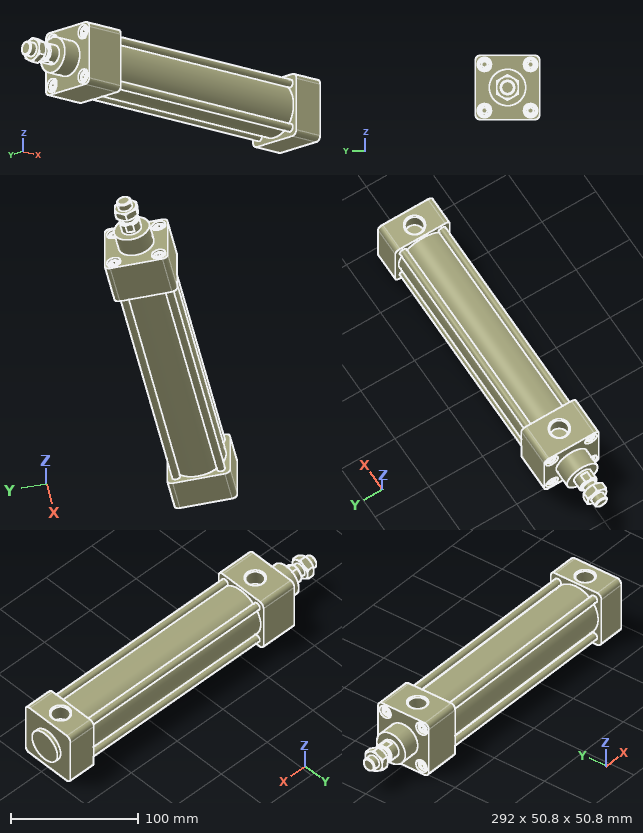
import cadquery as cq
import math

TOTAL_LENGTH = 292.0
NUT_FRONT = 6.5
NUT_THICKNESS = 7.0
SHOULDER_X = 18.7
FLAT_END_X = 26.0
FRONT_BOSS_X = 28.3
FRONT_CAP_X = 44.0
FRONT_CAP_END_X = 77.7
REAR_CAP_X = 263.2
REAR_CAP_END_X = 288.5

CAP_SIDE = 50.8
CAP_CORNER_RADIUS = 4.5
BOSS_DIAMETER = 28.5
PORT_DIAMETER = 15.2
PORT_CHAMFER = 1.02
PORT_DEPTH = 14.5
FRONT_PORT_X = 62.2
REAR_PORT_X = 275.0

TUBE_OUTER_DIAMETER = 44.5
TUBE_BORE_DIAMETER = 38.0

ROD_DIAMETER = 15.8
ROD_CHAMFER = 1.0
ROD_FLAT_WIDTH = 14.5
THREAD_DIAMETER = 11.0
THREAD_CHAMFER = 0.73
NUT_WIDTH = 17.2
NUT_CHAMFER_ANGLE = 30.0

TIE_ROD_DIAMETER = 6.5
TIE_ROD_OFFSET = 18.0
TIE_ROD_ENGAGEMENT = 14.5
HEAD_DIAMETER = 9.5
HEAD_CHAMFER = 1.2
HEAD_LENGTH = 6.5
HEAD_RECESS = 1.0
COUNTERBORE_DIAMETER = 11.0
SOCKET_CORNERS = 5.0
SOCKET_DEPTH = 3.2
SOCKET_TURN = 45

HEAD_X = FRONT_CAP_X + HEAD_RECESS
HEAD_END_X = HEAD_X + HEAD_LENGTH
TIE_ROD_END_X = REAR_CAP_X + TIE_ROD_ENGAGEMENT
CORNER_ANGLES = [45 + 90 * i for i in range(4)]
CORNER_RADIUS = TIE_ROD_OFFSET * math.sqrt(2)


def cross_section(x):
    """Work plane square to the cylinder axis at station x, with its normal along +X."""
    return cq.Workplane("YZ", origin=(x, 0, 0))


def cylinder(diameter, start_x, end_x):
    return cross_section(start_x).circle(diameter / 2).extrude(end_x - start_x)


def place_at_corner(body, angle):
    """Move a body from the cylinder axis to a tie rod corner, turned with that corner."""
    return body.translate((0, CORNER_RADIUS, 0)).rotate((0, 0, 0), (1, 0, 0), angle)


def cap_block(start_x, end_x):
    block = cross_section(start_x).rect(CAP_SIDE, CAP_SIDE).extrude(end_x - start_x)
    return block.edges("|X").fillet(CAP_CORNER_RADIUS)


def port(x):
    """Cutter for a blind, chamfered port in the top of a cap."""
    top = CAP_SIDE / 2
    radius = PORT_DIAMETER / 2
    hole = cq.Workplane("XY", origin=(x, 0, top - PORT_DEPTH)).circle(radius).extrude(PORT_DEPTH)
    mouth_base = cq.Vector(x, 0, top - PORT_CHAMFER)
    mouth = cq.Solid.makeCone(radius, radius + PORT_CHAMFER, PORT_CHAMFER, pnt=mouth_base)
    return hole.union(cq.Workplane(mouth))


def make_front_cap():
    cap = cap_block(FRONT_CAP_X, FRONT_CAP_END_X)
    cap = cap.union(cylinder(BOSS_DIAMETER, FRONT_BOSS_X, FRONT_CAP_X))
    cap = cap.cut(cylinder(ROD_DIAMETER, FRONT_BOSS_X, FRONT_CAP_END_X))
    cap = cap.cut(port(FRONT_PORT_X))
    tie_rod_hole = cylinder(TIE_ROD_DIAMETER, FRONT_CAP_X, FRONT_CAP_END_X)
    tie_rod_hole = tie_rod_hole.union(cylinder(COUNTERBORE_DIAMETER, FRONT_CAP_X, HEAD_END_X))
    for angle in CORNER_ANGLES:
        cap = cap.cut(place_at_corner(tie_rod_hole, angle))
    return cap


def make_rear_cap():
    cap = cap_block(REAR_CAP_X, REAR_CAP_END_X)
    cap = cap.union(cylinder(BOSS_DIAMETER, REAR_CAP_END_X, TOTAL_LENGTH))
    cap = cap.cut(port(REAR_PORT_X))
    tie_rod_hole = cylinder(TIE_ROD_DIAMETER, REAR_CAP_X, TIE_ROD_END_X)
    for angle in CORNER_ANGLES:
        cap = cap.cut(place_at_corner(tie_rod_hole, angle))
    return cap


def make_tube():
    tube = cylinder(TUBE_OUTER_DIAMETER, FRONT_CAP_END_X, REAR_CAP_X)
    return tube.cut(cylinder(TUBE_BORE_DIAMETER, FRONT_CAP_END_X, REAR_CAP_X))


def make_piston_rod():
    rod = cylinder(ROD_DIAMETER, SHOULDER_X, FRONT_CAP_END_X).faces("<X").chamfer(ROD_CHAMFER)
    flat_length = FLAT_END_X - SHOULDER_X
    flat_band = cross_section(SHOULDER_X).rect(ROD_DIAMETER, ROD_DIAMETER).extrude(flat_length)
    flat_core = cross_section(SHOULDER_X).rect(ROD_DIAMETER, ROD_FLAT_WIDTH).extrude(flat_length)
    rod = rod.cut(flat_band.cut(flat_core))
    thread = cylinder(THREAD_DIAMETER, 0, SHOULDER_X).faces("<X").chamfer(THREAD_CHAMFER)
    return rod.union(thread)


def make_nut():
    """Hexagon lock nut with corners up and down, its corners trimmed by a cone at each end."""
    nut_end = NUT_FRONT + NUT_THICKNESS
    face_radius = NUT_WIDTH / 2
    corner_radius = face_radius / math.cos(math.pi / 6)
    trim_length = (corner_radius - face_radius) * math.tan(math.radians(NUT_CHAMFER_ANGLE))

    hexagon = cross_section(NUT_FRONT).polygon(6, 2 * corner_radius).extrude(NUT_THICKNESS)
    hexagon = hexagon.rotate((0, 0, 0), (1, 0, 0), 90)
    trim_profile = [
        (NUT_FRONT, 0),
        (NUT_FRONT, face_radius),
        (NUT_FRONT + trim_length, corner_radius),
        (nut_end - trim_length, corner_radius),
        (nut_end, face_radius),
        (nut_end, 0),
    ]
    trim_body = cq.Workplane("XY").polyline(trim_profile).close().revolve(360, (0, 0, 0), (1, 0, 0))
    thread_hole = cylinder(THREAD_DIAMETER, NUT_FRONT, nut_end)
    return hexagon.intersect(trim_body).cut(thread_hole)


def make_tie_rod(angle):
    """Tie rod with a hexagon socket head, for the corner at the given angle."""
    tie_rod = cylinder(HEAD_DIAMETER, HEAD_X, HEAD_END_X).faces("<X").chamfer(HEAD_CHAMFER)
    tie_rod = tie_rod.union(cylinder(TIE_ROD_DIAMETER, HEAD_END_X, TIE_ROD_END_X))
    socket = cross_section(HEAD_X).polygon(6, SOCKET_CORNERS).extrude(SOCKET_DEPTH)
    socket = socket.rotate((0, 0, 0), (1, 0, 0), SOCKET_TURN)
    return place_at_corner(tie_rod.cut(socket), angle)


front_cap = make_front_cap()
rear_cap = make_rear_cap()
tube = make_tube()
piston_rod = make_piston_rod()
nut = make_nut()
tie_rods = [make_tie_rod(angle).val() for angle in CORNER_ANGLES]

result = cq.Compound.makeCompound(
    [front_cap.val(), rear_cap.val(), tube.val(), piston_rod.val(), nut.val(), *tie_rods]
)